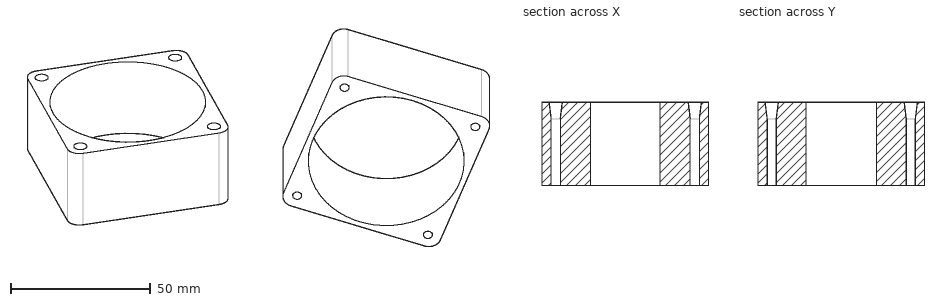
import cadquery as cq

side = 60.0
height = side / 2
corner_radius = 4.5
bore_diameter = 56.0

hole_pitch = 50.0
hole_diameter = 3.2
mouth_diameter = 4.7
mouth_depth = 6.0


def make_frame():
    """Rounded square block with a large round bore, standing on Z = 0."""
    block = cq.Workplane("XY").rect(side, side).extrude(height).edges("|Z").fillet(corner_radius)
    return block.faces(">Z").workplane().hole(bore_diameter)


def make_screw_holes():
    """Four through holes on a square pattern, each widening to its conical mouth."""
    mouth_floor = height - mouth_depth
    shank = cq.Solid.makeCylinder(hole_diameter / 2, height)
    mouth = cq.Solid.makeCone(
        hole_diameter / 2, mouth_diameter / 2, mouth_depth, pnt=cq.Vector(0, 0, mouth_floor)
    )
    hole = shank.fuse(mouth)
    corners = cq.Workplane("XY").rect(hole_pitch, hole_pitch, forConstruction=True).vertices()
    return corners.eachpoint(lambda place: hole.moved(place))


result = make_frame().cut(make_screw_holes())